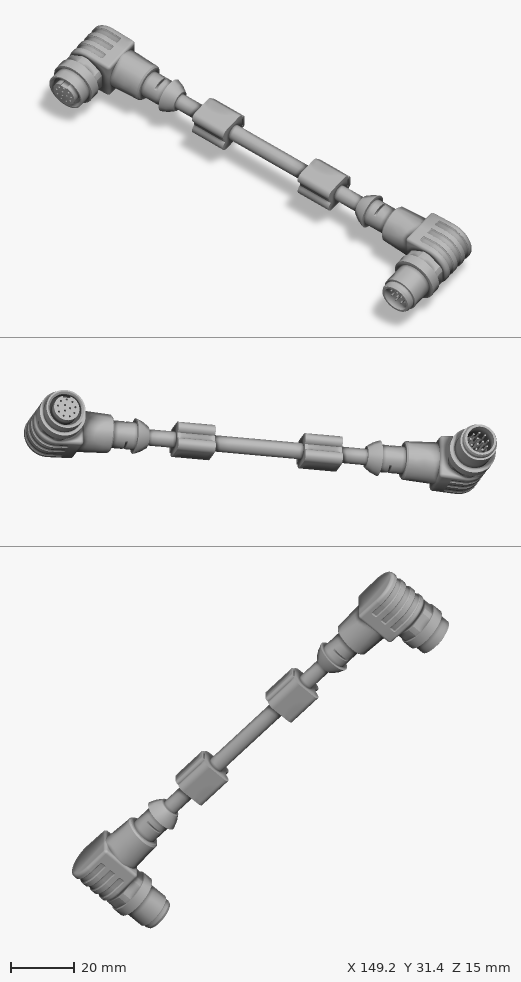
import cadquery as cq
import math

CONNECTOR_X = 67.1
OVERALL_DEPTH = 31.4
CLIP_X = 20.8
CABLE_DIA = 5.2
OVERLAP = 0.3
TOUCH_TOLERANCE = 1e-4

HOUSING_R = 7.4
HOUSING_DEPTH = 14.2
BACK_Y = 6.95
FRONT_Y = BACK_Y - HOUSING_DEPTH
BLOCK_LENGTH = 8.8
BLOCK_HALF_HEIGHT = 7.0
HOUSING_FILLET = 1.0

GROOVE_COUNT = 3
GROOVE_PITCH = 4.0
GROOVE_WIDTH = 2.3
GROOVE_DEPTH = 0.5
GROOVE_END_X = 4.6
GROOVE_END_R = 0.5
GROOVE_FLOOR_CHAMFER = 0.35

BARREL_ROOT_DIA = 13.4
BARREL_TIP_DIA = 12.3
BARREL_END_X = 19.2
BARREL_CHAMFER = 0.5
NECK_DIA = 8.8
CONE_START_X = 27.1
CONE_END_X = 31.3
CONE_LARGE_DIA = 11.4
CONE_BULGE = 0.3
CONE_SMALL_DIA = 7.0
NECK_SLOT_X = 23.9
NECK_SLOT_WIDTH = 0.8
NECK_SLOT_FLOOR = 3.2

COUPLING_NECK_DIA = 8.7
HEX_START = 8.0
HEX_END = 11.2
HEX_ACROSS_FLATS = 13.0
HEX_CORNER_DIA = 14.0
COLLAR_DIA = 15.0
COLLAR_END = 14.5

SOCKET_SLEEVE_DIA = 12.8
SOCKET_SLEEVE_END = 18.6
SOCKET_BORE_DIA = 10.5
SOCKET_BORE_FLOOR = 15.0
SOCKET_MOUTH_DIA = 11.8
INSERT_DIA = 8.3
INSERT_END = 19.5
KEY_WIDTH = 2.4
KEY_DEPTH = 0.7
CONTACT_HOLE_DIA = 0.7
CONTACT_HOLE_DEPTH = 3.0

PLUG_SLEEVE_DIA = 12.0
PLUG_SLEEVE_END = 21.9
PLUG_TIP_DIA = 10.95
PLUG_RELIEF_DIA = 10.5
PLUG_RELIEF_LENGTH = 0.4
PLUG_TAPER_START = 23.6
PLUG_END = OVERALL_DEPTH - BACK_Y
PLUG_FACE_DIA = 10.2
PLUG_BORE_DIA = 8.7
PLUG_BORE_DEPTH = 9.0
PIN_DIA = 0.6
PIN_LENGTH = 7.5

INNER_RING = (3, 1.1, 0)
OUTER_RING = (9, 2.9, 90)

CLIP_LENGTH = 12.2
CLIP_HALF_HEIGHT = 4.7
JAW_TIP_Y = -5.6
JAW_R = 2.0
JAW_GAP_FLOOR_Y = -4.4
CLIP_BACK_Y = 4.9
CLIP_BACK_R = 2.2
STRIP_BACK_Y = 6.0
STRIP_HALF_HEIGHT = 2.7
STRIP_R = 1.0
LABEL_SLOT_Y = 4.95
LABEL_SLOT_WIDTH = 0.7
LABEL_SLOT_HEIGHT = 3.8


def revolve_y(profile):
    """Revolve (radius, distance) points about the connector axis, distance running towards -Y."""
    points = [(radius, -distance) for radius, distance in profile]
    return cq.Workplane("XY").polyline(points).close().revolve(360, (0, 0, 0), (0, 1, 0))


def rod_y(diameter, start, end):
    """Cylinder on the connector axis between two distances towards -Y."""
    return cq.Workplane("XZ", origin=(0, -start, 0)).circle(diameter / 2).extrude(end - start)


def housing_outline(inset):
    """Round end with two sides that close in slightly towards the cable."""
    radius = HOUSING_R - inset
    end_z = BLOCK_HALF_HEIGHT - inset
    return (
        cq.Workplane("XZ", origin=(0, BACK_Y, 0))
        .moveTo(BLOCK_LENGTH, end_z)
        .lineTo(0, radius)
        .threePointArc((-radius, 0), (0, -radius))
        .lineTo(BLOCK_LENGTH, -end_z)
        .close()
    )


def lies_on(shape, edge):
    """True when the middle of the edge touches the shape."""
    middle = edge.positionAt(0.5).toTuple()
    return shape.distance(cq.Vertex.makeVertex(*middle)) < TOUCH_TOLERANCE


def make_groove(center_y):
    """Band between the housing surface and the groove floor, rounded where it ends, with a sloped foot."""
    reach = 2 * HOUSING_R
    band = (
        cq.Workplane("XY")
        .box(GROOVE_END_X + reach, GROOVE_WIDTH, 2 * reach)
        .edges("|Z and >X")
        .fillet(GROOVE_END_R)
        .translate(((GROOVE_END_X - reach) / 2, center_y, 0))
    )
    core = housing_outline(GROOVE_DEPTH).extrude(HOUSING_DEPTH)
    floor = core.val()
    groove = band.cut(core)
    floor_edges = [edge for edge in groove.edges().vals() if lies_on(floor, edge)]
    return groove.newObject(floor_edges).chamfer(GROOVE_FLOOR_CHAMFER)


def make_housing():
    housing = housing_outline(0).extrude(HOUSING_DEPTH)
    housing = housing.faces(">X or >Y or <Y").edges().fillet(HOUSING_FILLET)
    middle_y = (BACK_Y + FRONT_Y) / 2
    for index in range(GROOVE_COUNT):
        center_y = middle_y + (index - (GROOVE_COUNT - 1) / 2) * GROOVE_PITCH
        housing = housing.cut(make_groove(center_y))
    return housing


def make_cable_sleeve():
    neck_r = NECK_DIA / 2
    tip_r = BARREL_TIP_DIA / 2
    start_x = BLOCK_LENGTH - HOUSING_FILLET
    cone_middle_x = (CONE_START_X + CONE_END_X) / 2
    cone_middle_r = (CONE_LARGE_DIA + CONE_SMALL_DIA) / 4
    profile = (
        cq.Workplane("XY")
        .moveTo(start_x, 0)
        .lineTo(start_x, BARREL_ROOT_DIA / 2)
        .lineTo(BARREL_END_X - BARREL_CHAMFER, tip_r)
        .lineTo(BARREL_END_X, tip_r - BARREL_CHAMFER)
        .lineTo(BARREL_END_X, neck_r)
        .lineTo(CONE_START_X, neck_r)
        .lineTo(CONE_START_X, CONE_LARGE_DIA / 2)
        .threePointArc(
            (cone_middle_x, cone_middle_r + CONE_BULGE),
            (CONE_END_X, CONE_SMALL_DIA / 2),
        )
        .lineTo(CONE_END_X, 0)
        .close()
    )
    sleeve = profile.revolve(360, (0, 0, 0), (1, 0, 0))
    for side in (1, -1):
        slot = cq.Workplane("XY").box(NECK_SLOT_WIDTH, NECK_DIA, NECK_DIA)
        sleeve = sleeve.cut(slot.translate((NECK_SLOT_X, 0, side * (NECK_SLOT_FLOOR + neck_r))))
    return sleeve


def make_coupling():
    hex_length = HEX_END - HEX_START
    across_corners = HEX_ACROSS_FLATS / math.cos(math.pi / 6)
    hexagon = (
        cq.Workplane("XZ", origin=(0, -HEX_START, 0))
        .transformed(rotate=(0, 0, 90))
        .polygon(6, across_corners)
        .extrude(hex_length)
        .intersect(rod_y(HEX_CORNER_DIA, HEX_START, HEX_END))
    )
    neck = rod_y(COUPLING_NECK_DIA, -FRONT_Y - OVERLAP, HEX_START + OVERLAP)
    collar = rod_y(COLLAR_DIA, HEX_END, COLLAR_END)
    return neck.union(hexagon).union(collar)


def contact_points():
    points = []
    for count, radius, first_angle in (INNER_RING, OUTER_RING):
        for index in range(count):
            angle = math.radians(first_angle + index * 360 / count)
            points.append((radius * math.cos(angle), radius * math.sin(angle)))
    return points


def make_socket_end():
    insert_r = INSERT_DIA / 2
    bore_r = SOCKET_BORE_DIA / 2
    mouth_r = SOCKET_MOUTH_DIA / 2
    sleeve_r = SOCKET_SLEEVE_DIA / 2
    socket = revolve_y([
        (0, COLLAR_END - OVERLAP),
        (sleeve_r, COLLAR_END - OVERLAP),
        (sleeve_r, SOCKET_SLEEVE_END),
        (mouth_r, SOCKET_SLEEVE_END),
        (bore_r, SOCKET_SLEEVE_END - (mouth_r - bore_r)),
        (bore_r, SOCKET_BORE_FLOOR + (bore_r - insert_r)),
        (insert_r, SOCKET_BORE_FLOOR),
        (insert_r, INSERT_END),
        (0, INSERT_END),
    ])
    face = cq.Workplane("XZ", origin=(0, -INSERT_END, 0))
    contacts = face.pushPoints(contact_points())
    holes = contacts.circle(CONTACT_HOLE_DIA / 2).extrude(-CONTACT_HOLE_DEPTH)
    key = (
        face.center(0, insert_r)
        .rect(KEY_WIDTH, 2 * KEY_DEPTH)
        .extrude(SOCKET_BORE_FLOOR - INSERT_END)
    )
    return socket.cut(holes).cut(key)


def make_plug_end():
    sleeve_r = PLUG_SLEEVE_DIA / 2
    relief_r = PLUG_RELIEF_DIA / 2
    tip_r = PLUG_TIP_DIA / 2
    bore_r = PLUG_BORE_DIA / 2
    bore_floor = PLUG_END - PLUG_BORE_DEPTH
    relief_end = PLUG_SLEEVE_END + PLUG_RELIEF_LENGTH
    plug = revolve_y([
        (0, COLLAR_END - OVERLAP),
        (sleeve_r, COLLAR_END - OVERLAP),
        (sleeve_r, PLUG_SLEEVE_END),
        (relief_r, PLUG_SLEEVE_END),
        (relief_r, relief_end),
        (tip_r, relief_end),
        (tip_r, PLUG_TAPER_START),
        (PLUG_FACE_DIA / 2, PLUG_END),
        (bore_r, PLUG_END),
        (bore_r, bore_floor),
        (0, bore_floor),
    ])
    pins = (
        cq.Workplane("XZ", origin=(0, OVERLAP - bore_floor, 0))
        .pushPoints(contact_points())
        .circle(PIN_DIA / 2)
        .extrude(PIN_LENGTH + OVERLAP)
    )
    return plug.union(pins)


def make_clip():
    half_diagonal = CLIP_BACK_R * math.sqrt(0.5)
    back_round_y = CLIP_BACK_Y - CLIP_BACK_R
    back_round_z = CLIP_HALF_HEIGHT - CLIP_BACK_R
    jaw_y = JAW_TIP_Y + JAW_R
    jaw_z = CLIP_HALF_HEIGHT - JAW_R
    gap_z = jaw_z - JAW_R
    strip_thickness = STRIP_BACK_Y - CLIP_BACK_Y
    body = (
        cq.Workplane("YZ")
        .moveTo(jaw_y, CLIP_HALF_HEIGHT)
        .lineTo(back_round_y, CLIP_HALF_HEIGHT)
        .threePointArc(
            (back_round_y + half_diagonal, back_round_z + half_diagonal),
            (CLIP_BACK_Y, back_round_z),
        )
        .lineTo(CLIP_BACK_Y, -back_round_z)
        .threePointArc(
            (back_round_y + half_diagonal, -back_round_z - half_diagonal),
            (back_round_y, -CLIP_HALF_HEIGHT),
        )
        .lineTo(jaw_y, -CLIP_HALF_HEIGHT)
        .threePointArc((JAW_TIP_Y, -jaw_z), (jaw_y, -gap_z))
        .lineTo(jaw_y, gap_z)
        .threePointArc((JAW_TIP_Y, jaw_z), (jaw_y, CLIP_HALF_HEIGHT))
        .close()
        .extrude(CLIP_LENGTH / 2, both=True)
    )
    web = cq.Workplane("XY").box(CLIP_LENGTH, jaw_y - JAW_GAP_FLOOR_Y, 2 * jaw_z)
    web = web.translate((0, (jaw_y + JAW_GAP_FLOOR_Y) / 2, 0))
    strip = (
        cq.Workplane("XY")
        .box(CLIP_LENGTH, strip_thickness + OVERLAP, 2 * STRIP_HALF_HEIGHT)
        .edges("|X and >Y")
        .fillet(STRIP_R)
        .translate((0, STRIP_BACK_Y - (strip_thickness + OVERLAP) / 2, 0))
    )
    label_slot = cq.Workplane("XY").box(CLIP_LENGTH, LABEL_SLOT_WIDTH, LABEL_SLOT_HEIGHT)
    label_slot = label_slot.translate((0, LABEL_SLOT_Y, 0))
    return body.union(web).union(strip).cut(label_slot)


connector = make_housing().union(make_cable_sleeve()).union(make_coupling())
socket_connector = connector.union(make_socket_end())
plug_connector = connector.mirror("YZ").union(make_plug_end())

cable_half_length = CONNECTOR_X - CONE_END_X + OVERLAP
cable = cq.Workplane("YZ").circle(CABLE_DIA / 2).extrude(cable_half_length, both=True)

result = cable.union(socket_connector.translate((-CONNECTOR_X, 0, 0)))
result = result.union(plug_connector.translate((CONNECTOR_X, 0, 0)))
for clip_x in (-CLIP_X, CLIP_X):
    result = result.union(make_clip().translate((clip_x, 0, 0)))